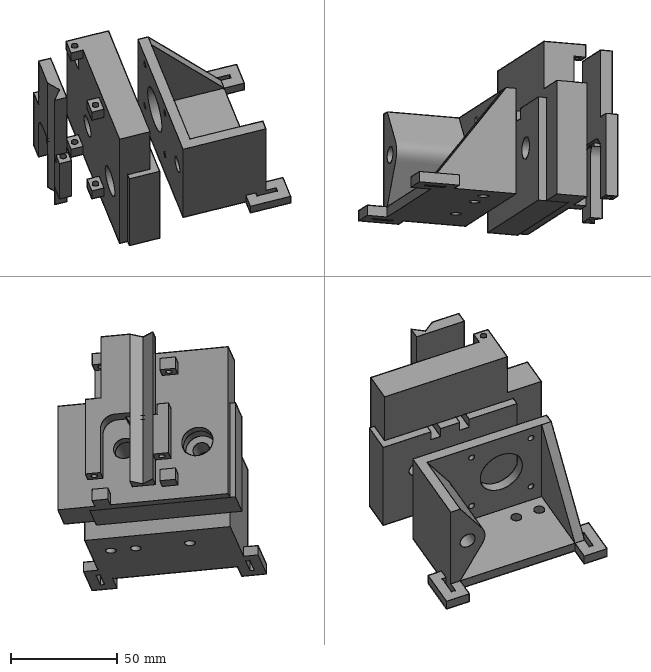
import cadquery as cq
import math

motor_x = 32.15
axis_spacing = 35.0
drive_x = motor_x + axis_spacing
axis_z = 29.2

block_width = 82.0
block_depth = 15.0
block_height = 78.0
shoulder_width = 17.8
shoulder_height = 55.0
block_motor_bore = 10.6
block_head_bore = 14.97

lug_width = 7.5
lug_depth = 6.0
lug_height = 6.0
hinge_span = 40.0
left_lug_x = shoulder_width
right_lug_x = left_lug_x + hinge_span - lug_width
pin_bore = 3.0
pin_inset = lug_depth / 2
left_lower_lug_z = 0.0
right_lower_lug_z = 7.1
left_upper_lug_z = block_height - lug_height
right_upper_lug_z = left_upper_lug_z - lug_height
blind_pin_depth = 5.0

cover_width = 70.0
cover_depth = 15.0
cover_height = 50.0
cover_left_x = (motor_x + drive_x - cover_width) / 2
cover_front_y = 4.0
cover_motor_bore = 10.5
cover_head_bore = 14.95
cover_head_depth = 5.0
drive_bore = 7.9
notch_width = 5.0
notch_depth = 5.0
notch_spacing = 15.0

clamp_back_y = -16.0
clamp_front_y = clamp_back_y - lug_depth
clamp_left_x = left_lug_x + lug_width
clamp_right_x = right_lug_x
left_leg_top_z = 45.6
right_leg_top_z = 39.5
vee_width = 11.1
vee_depth = 4.1
vee_left_x = clamp_right_x - vee_width
arch_radius = vee_left_x - motor_x
slit_top_z = axis_z + arch_radius
slit_height = 2.1
slit_bottom_z = slit_top_z - slit_height
slit_depth = lug_depth - vee_depth
web_length = 2.1

bracket_width = 70.0
bracket_depth = 41.0
bracket_height = 51.0
bracket_wall = 5.0
bracket_left_x = 6.05
bracket_right_x = bracket_left_x + bracket_width
bracket_front_y = 33.25
bracket_back_y = bracket_front_y + bracket_depth
motor_pilot_bore = 22.0
motor_screw_bore = 3.0
motor_screw_spacing = 31.0
drive_boss_radius = 9.0
floor_bore = 5.0
floor_hole_offsets = (10.0, 22.0, 48.0)
floor_hole_inset = 12.75
tab_width = 12.0
tab_length = 20.0
tab_overhang_x = 7.0
tab_overhang_y = 10.0
tab_slot_width = 2.0
tab_slot_length = 10.0


def box(x, y, z, width, depth, height):
    """A box whose lowest corner is at (x, y, z)."""
    return cq.Workplane("XY").box(width, depth, height, centered=False).translate((x, y, z))


def bore_y(x, z, diameter, front_y, back_y):
    """A cylinder along Y, from front_y back to back_y."""
    base = cq.Workplane("XZ", origin=(x, front_y, z))
    return base.circle(diameter / 2).extrude(front_y - back_y)


def bore_z(x, y, diameter, bottom_z, top_z):
    """A vertical cylinder."""
    base = cq.Workplane("XY", origin=(x, y, bottom_z))
    return base.circle(diameter / 2).extrude(top_z - bottom_z)


def make_hinge_lug(x, z, pin_depth):
    """A lug on the block's front face, with a pin hole drilled from its top."""
    top_z = z + lug_height
    lug = box(x, -lug_depth, z, lug_width, lug_depth, lug_height)
    pin_hole = bore_z(x + lug_width / 2, -pin_inset, pin_bore, top_z - pin_depth, top_z)
    return lug.cut(pin_hole)


def cover_blank():
    return box(cover_left_x, cover_front_y, 0, cover_width, cover_depth, cover_height)


def make_block():
    block = box(0, 0, 0, block_width, block_depth, block_height)
    block = block.cut(box(0, 0, shoulder_height, shoulder_width, block_depth, block_height))
    block = block.cut(cover_blank())
    block = block.cut(bore_y(motor_x, axis_z, block_motor_bore, 0, block_depth))
    block = block.cut(bore_y(drive_x, axis_z, block_head_bore, 0, block_depth))
    lug_places = (
        (left_lug_x, left_upper_lug_z, lug_height),
        (right_lug_x, right_upper_lug_z, lug_height),
        (left_lug_x, left_lower_lug_z, blind_pin_depth),
        (right_lug_x, right_lower_lug_z, blind_pin_depth),
    )
    for x, z, pin_depth in lug_places:
        block = block.union(make_hinge_lug(x, z, pin_depth))
    return block


def make_cover():
    cover = cover_blank()
    back_y = cover_front_y + cover_depth
    cover = cover.cut(bore_y(motor_x, axis_z, cover_motor_bore, cover_front_y, back_y))
    cover = cover.cut(bore_y(drive_x, axis_z, drive_bore, cover_front_y, back_y))
    head_seat_y = cover_front_y + cover_head_depth
    cover = cover.cut(bore_y(drive_x, axis_z, cover_head_bore, cover_front_y, head_seat_y))
    for side in (-1, 1):
        notch_x = cover_left_x + (cover_width + side * notch_spacing - notch_width) / 2
        notch_z = cover_height - notch_depth
        cover = cover.cut(box(notch_x, cover_front_y, notch_z, notch_width, cover_depth, notch_depth))
    return cover


def make_clamp():
    def slab(left_x, right_x, bottom_z, top_z):
        return box(left_x, clamp_front_y, bottom_z, right_x - left_x, lug_depth, top_z - bottom_z)

    right_leg_x = clamp_right_x + web_length
    right_leg_z = right_lower_lug_z + lug_height
    clamp = slab(clamp_left_x, clamp_right_x, 0, block_height)
    clamp = clamp.union(slab(left_lug_x, clamp_left_x, lug_height, left_leg_top_z))
    clamp = clamp.union(slab(clamp_right_x, right_leg_x, right_leg_z, slit_bottom_z))
    clamp = clamp.union(slab(right_leg_x, right_lug_x + lug_width, right_leg_z, right_leg_top_z))

    clamp = clamp.cut(bore_y(motor_x, axis_z, 2 * arch_radius, clamp_front_y, clamp_back_y))
    clamp = clamp.cut(slab(motor_x - arch_radius, vee_left_x, 0, axis_z))
    clamp = clamp.cut(slab(motor_x, vee_left_x, slit_bottom_z, slit_top_z))

    slit_y = clamp_back_y - slit_depth
    clamp = clamp.cut(box(vee_left_x, slit_y, slit_bottom_z, vee_width, slit_depth, slit_height))

    vee = (
        cq.Workplane("XY")
        .moveTo(vee_left_x, clamp_front_y)
        .lineTo(vee_left_x + vee_width / 2, clamp_front_y + vee_depth)
        .lineTo(clamp_right_x, clamp_front_y)
        .close()
        .extrude(block_height)
    )
    clamp = clamp.cut(vee)

    for leg_x in (left_lug_x, right_lug_x):
        pin_x = leg_x + lug_width / 2
        clamp = clamp.cut(bore_z(pin_x, clamp_back_y - pin_inset, pin_bore, 0, block_height))
    return clamp


def boss_tangent_point(corner_x, corner_z):
    """Where the line from a corner touches the left side of the drive boss."""
    run = corner_x - drive_x
    rise = corner_z - axis_z
    turn = math.copysign(math.acos(drive_boss_radius / math.hypot(run, rise)), rise)
    angle = math.atan2(rise, run) + turn
    x = drive_x + drive_boss_radius * math.cos(angle)
    z = axis_z + drive_boss_radius * math.sin(angle)
    return x, z


def make_drive_wall():
    """The right wall: its inner face swells out to wrap around the drive axis."""
    inner_x = bracket_right_x - bracket_wall
    wall = (
        cq.Workplane("XZ", origin=(0, bracket_front_y, 0))
        .moveTo(bracket_right_x, bracket_wall)
        .lineTo(bracket_right_x, bracket_height)
        .lineTo(inner_x, bracket_height)
        .lineTo(*boss_tangent_point(inner_x, bracket_height))
        .threePointArc((drive_x - drive_boss_radius, axis_z), boss_tangent_point(inner_x, bracket_wall))
        .lineTo(inner_x, bracket_wall)
        .close()
        .extrude(-bracket_depth)
    )
    return wall


def make_gusset():
    """The left wall: a triangle from the plate's top edge down to the back of the floor."""
    plate_back_y = bracket_front_y + bracket_wall
    gusset = (
        cq.Workplane("YZ", origin=(bracket_left_x, 0, 0))
        .moveTo(plate_back_y, bracket_wall)
        .lineTo(bracket_back_y, bracket_wall)
        .lineTo(plate_back_y, bracket_height)
        .close()
        .extrude(bracket_wall)
    )
    return gusset


def make_bracket():
    floor = box(bracket_left_x, bracket_front_y, 0, bracket_width, bracket_depth, bracket_wall)
    plate = box(bracket_left_x, bracket_front_y, 0, bracket_width, bracket_wall, bracket_height)
    bracket = floor.union(plate).union(make_drive_wall()).union(make_gusset())

    left_tab_x = bracket_left_x - tab_overhang_x
    right_tab_x = bracket_right_x + tab_overhang_x - tab_width
    tab_y = bracket_back_y + tab_overhang_y - tab_length
    slot_y = tab_y + (tab_length - tab_slot_length) / 2
    for tab_x in (left_tab_x, right_tab_x):
        slot_x = tab_x + (tab_width - tab_slot_width) / 2
        bracket = bracket.union(box(tab_x, tab_y, 0, tab_width, tab_length, bracket_wall))
        bracket = bracket.cut(box(slot_x, slot_y, 0, tab_slot_width, tab_slot_length, bracket_wall))

    plate_back_y = bracket_front_y + bracket_wall
    bracket = bracket.cut(bore_y(motor_x, axis_z, motor_pilot_bore, bracket_front_y, plate_back_y))
    for side_x in (-1, 1):
        for side_z in (-1, 1):
            screw_x = motor_x + side_x * motor_screw_spacing / 2
            screw_z = axis_z + side_z * motor_screw_spacing / 2
            screw_hole = bore_y(screw_x, screw_z, motor_screw_bore, bracket_front_y, plate_back_y)
            bracket = bracket.cut(screw_hole)

    bracket = bracket.cut(bore_y(drive_x, axis_z, drive_bore, bracket_front_y, bracket_back_y))

    for offset in floor_hole_offsets:
        hole_x = bracket_left_x + offset
        hole_y = bracket_front_y + floor_hole_inset
        bracket = bracket.cut(bore_z(hole_x, hole_y, floor_bore, 0, bracket_wall))
    return bracket


block = make_block()
cover = make_cover()
clamp = make_clamp()
bracket = make_bracket()

bodies = (block, cover, clamp, bracket)
result = cq.Compound.makeCompound([body.solids().val() for body in bodies])